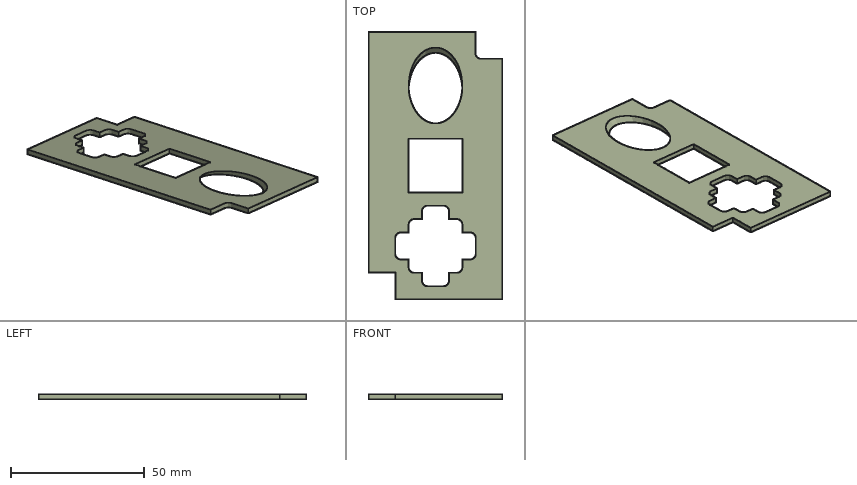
import cadquery as cq
import math

width = 50
length = 100
thickness = 2
notch = 10
notch_radius = 2

center_x = width / 2
square_side = 20
square_y = length / 2
cross_y = 20
cross_span = 30
cross_arm = 10
cross_radius = 2
bore_diameter = 20
bore_y = 80
bore_tilt = 45


def notched_plate():
    plate = (
        cq.Workplane("XY")
        .moveTo(notch, 0)
        .lineTo(width, 0)
        .lineTo(width, length - notch)
        .lineTo(width - notch, length - notch)
        .lineTo(width - notch, length)
        .lineTo(0, length)
        .lineTo(0, notch)
        .lineTo(notch, notch)
        .close()
        .extrude(thickness)
    )
    inner_corner = cq.selectors.NearestToPointSelector((width - notch, length - notch, thickness / 2))
    return plate.edges("|Z").edges(inner_corner).fillet(notch_radius)


def rounded_block(size_x, size_y):
    return (
        cq.Workplane("XY")
        .center(center_x, cross_y)
        .rect(size_x, size_y)
        .extrude(thickness)
        .edges("|Z")
        .fillet(cross_radius)
    )


def stepped_cross():
    """Two crossing arms over a square, with only the outward corners rounded."""
    cross = rounded_block(square_side, square_side)
    cross = cross.union(rounded_block(cross_span, cross_arm))
    return cross.union(rounded_block(cross_arm, cross_span))


def square_window():
    return (
        cq.Workplane("XY")
        .center(center_x, square_y)
        .rect(square_side, square_side)
        .extrude(thickness)
    )


def tilted_bore():
    """Slanted cylinder, long enough to pass right through the plate."""
    tilt = math.radians(bore_tilt)
    axis = cq.Vector(0, math.sin(tilt), math.cos(tilt))
    half_length = 2 * bore_diameter
    start = cq.Vector(center_x, bore_y, thickness) - axis * half_length
    return cq.Workplane(cq.Solid.makeCylinder(bore_diameter / 2, 2 * half_length, start, axis))


result = notched_plate()
for opening in (square_window(), stepped_cross(), tilted_bore()):
    result = result.cut(opening)